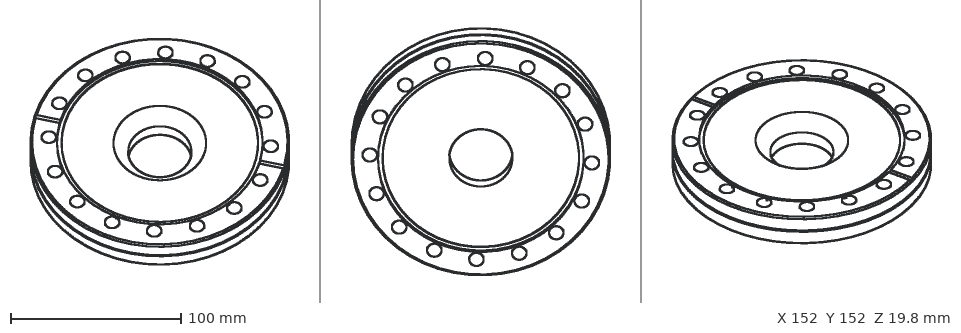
import cadquery as cq
import math

outer_radius = 76.0
thickness = 19.8
edge_chamfer = 1.0

rim_groove_width = 1.0
rim_groove_depth = 0.3

step_radius = 60.3
step_depth = 2.0
knife_radius = 57.8
knife_depth = 1.0
knife_wall_run = 0.2
inner_face_depth = 1.4

bore_radius = 18.5
cone_radius = 27.2

bolt_count = 16
bolt_circle_radius = 65.2
bolt_hole_diameter = 8.5

leak_groove_width = 2.3
leak_groove_depth = 0.8
leak_groove_angle = 180 / bolt_count


def make_body():
    """Revolve the half section, bore to rim, about the Z axis."""
    middle = thickness / 2
    half_groove = rim_groove_width / 2
    inner_face = thickness - inner_face_depth
    section = [
        (bore_radius, inner_face_depth),
        (knife_radius - knife_wall_run, inner_face_depth),
        (knife_radius, knife_depth),
        (step_radius, step_depth),
        (step_radius, 0),
        (outer_radius - edge_chamfer, 0),
        (outer_radius, edge_chamfer),
        (outer_radius, middle - half_groove),
        (outer_radius - rim_groove_depth, middle),
        (outer_radius, middle + half_groove),
        (outer_radius, thickness - edge_chamfer),
        (outer_radius - edge_chamfer, thickness),
        (step_radius, thickness),
        (step_radius, thickness - step_depth),
        (knife_radius, thickness - knife_depth),
        (knife_radius - knife_wall_run, inner_face),
        (cone_radius, inner_face),
        (bore_radius, middle),
    ]
    return cq.Workplane("XZ").polyline(section).close().revolve(360, (0, 0), (0, 1))


def cut_bolt_holes(body):
    return (
        body.faces(">Z")
        .workplane(origin=(0, 0, thickness))
        .polarArray(bolt_circle_radius, 0, 360, bolt_count)
        .hole(bolt_hole_diameter)
    )


def make_leak_groove(angle):
    """Horizontal cylinder whose chord at the flange face is the groove width."""
    half_width = leak_groove_width / 2
    radius = (half_width**2 + leak_groove_depth**2) / (2 * leak_groove_depth)
    axis_height = thickness - leak_groove_depth + radius
    start_radius = (step_radius + knife_radius) / 2
    direction = cq.Vector(math.cos(math.radians(angle)), math.sin(math.radians(angle)), 0)
    start = direction * start_radius + cq.Vector(0, 0, axis_height)
    return cq.Solid.makeCylinder(radius, outer_radius - start_radius, start, direction)


result = cut_bolt_holes(make_body())
for angle in (leak_groove_angle, leak_groove_angle + 180):
    result = result.cut(cq.Workplane(make_leak_groove(angle)))